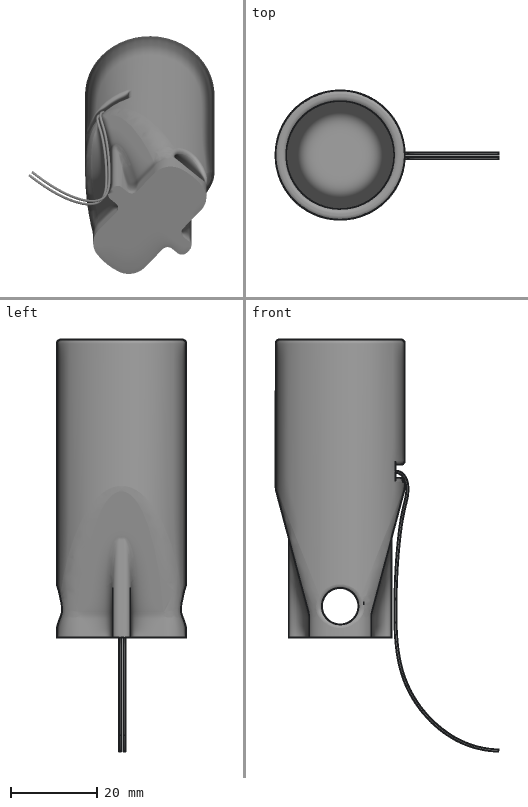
import cadquery as cq
import math

HOUSING_HEIGHT = 69.1
OUTER_RADIUS = 15.0
BORE_RADIUS = 12.5
BORE_FLOOR_Z = 42.05
RIM_OUTER_FILLET = 1.0
RIM_INNER_FILLET = 1.1

FLANK_HALF_WIDTH = 7.2
FLANK_BEND_Z = 5.3
FLANK_LEAN = math.tan(math.radians(15))
FLANK_FILLET = 5.0

RIB_TIP_X = 11.9
RIB_HALF_WIDTH = 2.0
RIB_FILLET = 1.5
RIB_TOP_Z = 28.7

CROSS_HOLE_DIAMETER = 8.4
CROSS_HOLE_Z = 7.3
CROSS_HOLE_FILLET = 0.9

WINDOW_WIDTH = 12.8
WINDOW_HEIGHT = 3.0
WINDOW_Z = 38.5
WINDOW_FILLET = 1.05

WIRE_DIAMETER = 0.6
WIRE_SPACING = 1.05
WIRE_PAIR_Y = -0.2
WIRE_PATH = [
    (12.5, 38.4),
    (14.3, 37.8),
    (15.4, 35.9),
    (14.8, 30.0),
    (13.7, 22.9),
    (12.8, 6.9),
    (15.2, -10.4),
    (23.3, -21.2),
    (36.7, -26.2),
]

EPSILON = 0.01


def flank_cutter(side):
    """Everything outside the flank on one side (+1 or -1) of the barrel."""
    far_x = 2 * OUTER_RADIUS
    far_z = FLANK_BEND_Z + (far_x - FLANK_HALF_WIDTH) / FLANK_LEAN
    return (
        cq.Workplane("XZ")
        .moveTo(side * FLANK_HALF_WIDTH, 0)
        .lineTo(side * FLANK_HALF_WIDTH, FLANK_BEND_Z)
        .lineTo(side * far_x, far_z)
        .lineTo(side * far_x, 0)
        .close()
        .extrude(far_x, both=True)
    )


def flanked_barrel():
    """Solid barrel with both flanks cut and every edge above the foot rounded."""
    barrel = cq.Workplane("XY").circle(OUTER_RADIUS).extrude(HOUSING_HEIGHT)
    for side in (1, -1):
        barrel = barrel.cut(flank_cutter(side))

    def borders_flank(edge):
        top = edge.BoundingBox().zmax
        return EPSILON < top < BORE_FLOOR_Z

    flank_edges = [edge for edge in barrel.edges().vals() if borders_flank(edge)]
    return barrel.newObject(flank_edges).fillet(FLANK_FILLET)


def add_rib(body):
    """Add the rib with rounded upright corners and round its roots on the flanks."""
    rib = (
        cq.Workplane("XY")
        .rect(2 * RIB_TIP_X, 2 * RIB_HALF_WIDTH)
        .extrude(RIB_TOP_Z)
        .edges("|Z")
        .fillet(RIB_FILLET)
    )
    body = body.union(rib)

    def is_root(edge):
        box = edge.BoundingBox()
        on_rib = max(-box.ymin, box.ymax) < RIB_HALF_WIDTH + EPSILON and EPSILON < box.zmax < RIB_TOP_Z
        farthest_x = max(-box.xmin, box.xmax)
        rib_corner = box.xlen < EPSILON and box.ylen < EPSILON and farthest_x > FLANK_HALF_WIDTH + EPSILON
        return on_rib and not rib_corner

    roots = [edge for edge in body.edges().vals() if is_root(edge)]
    return body.newObject(roots).fillet(RIB_FILLET)


def cut_cross_hole(body):
    """Drill the hole along Y and round both of its mouths."""
    drill = (
        cq.Workplane("XZ")
        .center(0, CROSS_HOLE_Z)
        .circle(CROSS_HOLE_DIAMETER / 2)
        .extrude(2 * OUTER_RADIUS, both=True)
    )
    body = body.cut(drill)
    reach = CROSS_HOLE_DIAMETER / 2 + EPSILON
    around_hole = cq.selectors.BoxSelector(
        (-reach, -2 * OUTER_RADIUS, CROSS_HOLE_Z - reach),
        (reach, 2 * OUTER_RADIUS, CROSS_HOLE_Z + reach),
        boundingbox=True,
    )
    return body.edges(around_hole).fillet(CROSS_HOLE_FILLET)


def cut_bore(body):
    """Sink the blind bore from the top and round both edges of the rim."""
    bore = (
        cq.Workplane("XY")
        .workplane(offset=BORE_FLOOR_Z)
        .circle(BORE_RADIUS)
        .extrude(HOUSING_HEIGHT - BORE_FLOOR_Z)
    )
    body = body.cut(bore)
    body = body.faces(">Z").edges(cq.selectors.RadiusNthSelector(-1)).fillet(RIM_OUTER_FILLET)
    return body.faces(">Z").edges(cq.selectors.RadiusNthSelector(0)).fillet(RIM_INNER_FILLET)


def cut_window(body):
    """Cut the wire window down to the bore radius and round its outer edges."""
    block = (
        cq.Workplane("YZ")
        .center(0, WINDOW_Z)
        .rect(WINDOW_WIDTH, WINDOW_HEIGHT)
        .extrude(2 * OUTER_RADIUS)
    )
    core = cq.Workplane("XY").circle(BORE_RADIUS).extrude(HOUSING_HEIGHT)
    body = body.cut(block.cut(core))
    mouth_x = math.sqrt(OUTER_RADIUS**2 - (WINDOW_WIDTH / 2) ** 2)
    mouth = cq.selectors.BoxSelector(
        (mouth_x - EPSILON, -WINDOW_WIDTH, WINDOW_Z - WINDOW_HEIGHT),
        (OUTER_RADIUS + EPSILON, WINDOW_WIDTH, WINDOW_Z + WINDOW_HEIGHT),
        boundingbox=True,
    )
    return body.edges(mouth).fillet(WINDOW_FILLET)


def make_housing():
    body = flanked_barrel()
    body = add_rib(body)
    body = cut_cross_hole(body)
    body = cut_bore(body)
    return cut_window(body).val().Solids()[0]


def make_wire(y):
    """Round wire that leaves the window, hangs down and swings out along +X."""
    path = cq.Workplane("XZ", origin=(0, y, 0)).spline(WIRE_PATH)
    start_x, start_z = WIRE_PATH[0]
    return cq.Workplane("YZ", origin=(start_x, y, start_z)).circle(WIRE_DIAMETER / 2).sweep(path)


housing = make_housing()
wires = [make_wire(WIRE_PAIR_Y + side * WIRE_SPACING / 2) for side in (1, -1)]
result = cq.Compound.makeCompound([housing, *[wire.val() for wire in wires]])